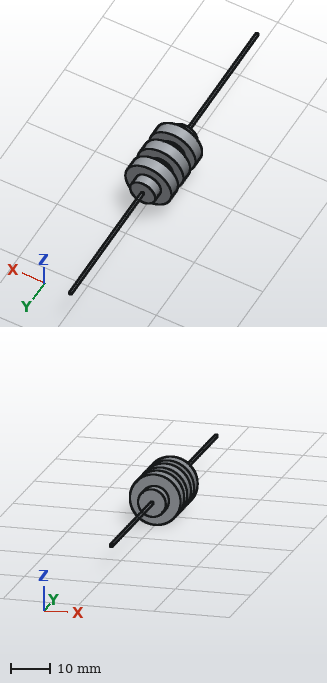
import cadquery as cq

overall_length = 98.42
core_length = 22.22
core_diameter = 7.36
lead_diameter = 0.81
winding_count = 3
winding_diameter = 13.46
winding_width = 3.556
winding_pitch = 6.35


def cylinder_along_y(diameter, length, center_y=0):
    """Solid cylinder on the Y axis, centred at center_y."""
    end_y = center_y + length / 2
    return cq.Workplane("XZ", origin=(0, end_y, 0)).circle(diameter / 2).extrude(length)


leads = cylinder_along_y(lead_diameter, overall_length)
core = cylinder_along_y(core_diameter, core_length)
result = leads.union(core)

first_winding_y = -(winding_count - 1) * winding_pitch / 2
for index in range(winding_count):
    winding_y = first_winding_y + index * winding_pitch
    winding = cylinder_along_y(winding_diameter, winding_width, winding_y)
    result = result.union(winding)